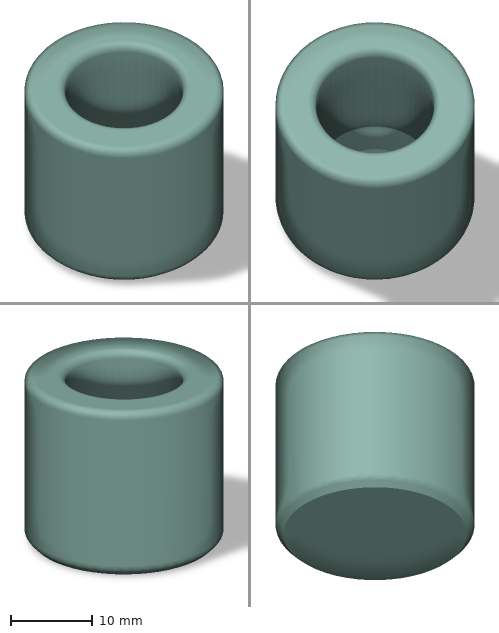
import cadquery as cq

outer_diameter = 24.5
height = 22.0
bore_diameter = 14.5
edge_size = 1.0
floor_diameter = 10.5
floor_thickness = 4.0

outer_radius = outer_diameter / 2
bore_radius = bore_diameter / 2
cone_height = (bore_diameter - floor_diameter) / 2


def make_body():
    """Cylinder with a rounded rim and a chamfered foot blended into the wall."""
    body = cq.Workplane("XY").circle(outer_radius).extrude(height)
    body = body.faces("<Z").edges().chamfer(edge_size)
    foot_corner = cq.selectors.BoxSelector(
        (-outer_diameter, -outer_diameter, edge_size / 2),
        (outer_diameter, outer_diameter, edge_size * 3 / 2),
    )
    body = body.edges("%CIRCLE").edges(foot_corner).fillet(edge_size)
    return body.faces(">Z").edges().fillet(edge_size)


def make_bore():
    """Blind bore with a conical end, flat floor and a flared rounded mouth."""
    mouth_radius = bore_radius + edge_size
    mouth_start = height - edge_size
    profile = (
        cq.Workplane("XZ")
        .moveTo(0, floor_thickness)
        .lineTo(floor_diameter / 2, floor_thickness)
        .lineTo(bore_radius, floor_thickness + cone_height)
        .lineTo(bore_radius, mouth_start)
        .radiusArc((mouth_radius, height), edge_size)
        .lineTo(0, height)
        .close()
    )
    return profile.revolve(360, (0, 0, 0), (0, 1, 0))


result = make_body().cut(make_bore())